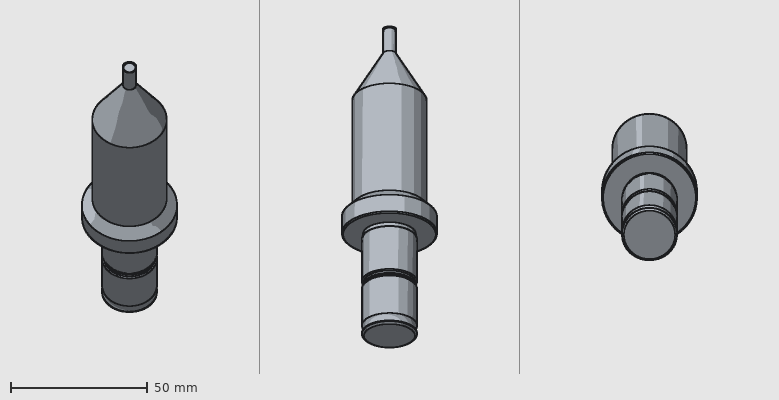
import cadquery as cq

total_height = 127.0
flange_bottom = 42.0
flange_rim_top = 49.4
body_top = 97.5
tip_bottom = 117.0

tip_radius = 2.4
body_radius = 13.7
flange_radius = 17.5
shank_radius = 10.2

lip_radius = 2.5
lip_thickness = 0.4
undercut_radius = 2.2
undercut_height = 1.0

flange_chamfer = 0.5
foot_chamfer = 0.8

relief_radius = 9.8
relief_bottom = 40.5

ring_groove_center = 21.1
ring_groove_width = 2.8
ring_groove_inner_width = 2.0
ring_groove_flat_width = 0.5
ring_groove_side_radius = 9.5
ring_groove_flat_radius = 9.3

foot_groove_bottom = 1.1
foot_groove_top = 4.2
foot_groove_radius = 9.8

ring_groove_levels = [
    (shank_radius, ring_groove_width / 2),
    (ring_groove_side_radius, ring_groove_inner_width / 2),
    (ring_groove_flat_radius, ring_groove_flat_width / 2),
]
ring_groove_lower = [(radius, ring_groove_center - offset) for radius, offset in ring_groove_levels]
ring_groove_upper = [(radius, ring_groove_center + offset) for radius, offset in reversed(ring_groove_levels)]

relief = [
    (shank_radius, relief_bottom - (shank_radius - relief_radius)),
    (relief_radius, relief_bottom),
    (relief_radius, flange_bottom),
]

flange = [
    (flange_radius - flange_chamfer, flange_bottom),
    (flange_radius, flange_bottom + flange_chamfer),
    (flange_radius, flange_rim_top),
    (body_radius, flange_rim_top + flange_radius - body_radius),
]

lip_bottom = total_height - lip_thickness
nose = [
    (body_radius, body_top),
    (tip_radius, tip_bottom),
    (tip_radius, lip_bottom - undercut_height),
    (undercut_radius, lip_bottom),
    (lip_radius, lip_bottom),
    (lip_radius, total_height),
    (0, total_height),
]

half_section = (
    cq.Workplane("XZ")
    .lineTo(shank_radius - foot_chamfer, 0)
    .lineTo(shank_radius, foot_chamfer)
    .lineTo(shank_radius, foot_groove_bottom)
    .threePointArc(
        (foot_groove_radius, (foot_groove_bottom + foot_groove_top) / 2),
        (shank_radius, foot_groove_top),
    )
    .polyline(ring_groove_lower + ring_groove_upper + relief + flange + nose, includeCurrent=True)
    .close()
)

result = half_section.revolve(360, (0, 0), (0, 1))